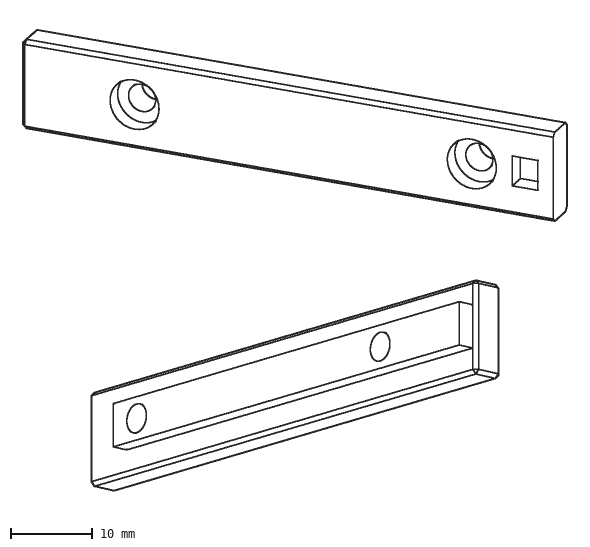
import cadquery as cq

length = 71.0
height = 11.85
bar_depth = 4.2
edge_chamfer = 0.5

total_depth = 6.4
rail_height = 5.5
rail_length = 64.0
rail_start = edge_chamfer

hole_spacing = 45.0
first_hole_x = 15.1
hole_diameter = 3.6
counterbore_diameter = 6.5
counterbore_depth = 2.3

pocket_width = 3.4
pocket_height = 4.0
pocket_depth = 2.5
pocket_x = 67.25

mid_z = height / 2


def box(x_start, y_start, size_x, size_y, size_z):
    """Box centred on the bar's mid-height, starting at the given X and Y."""
    corner = (x_start, y_start, mid_z - size_z / 2)
    return cq.Workplane("XY").box(size_x, size_y, size_z, centered=False).translate(corner)


def bore(x, diameter, depth):
    """Cylinder going into the bar from its front face."""
    return cq.Workplane("XY").add(
        cq.Solid.makeCylinder(diameter / 2, depth, cq.Vector(x, 0, mid_z), cq.Vector(0, 1, 0))
    )


bar = box(0, 0, length, bar_depth, height).edges("|X or <X").chamfer(edge_chamfer)
rail = box(rail_start, bar_depth, rail_length, total_depth - bar_depth, rail_height)
result = bar.union(rail)

for hole_x in (first_hole_x, first_hole_x + hole_spacing):
    result = result.cut(bore(hole_x, hole_diameter, total_depth))
    result = result.cut(bore(hole_x, counterbore_diameter, counterbore_depth))

pocket = box(pocket_x - pocket_width / 2, 0, pocket_width, pocket_depth, pocket_height)
result = result.cut(pocket)